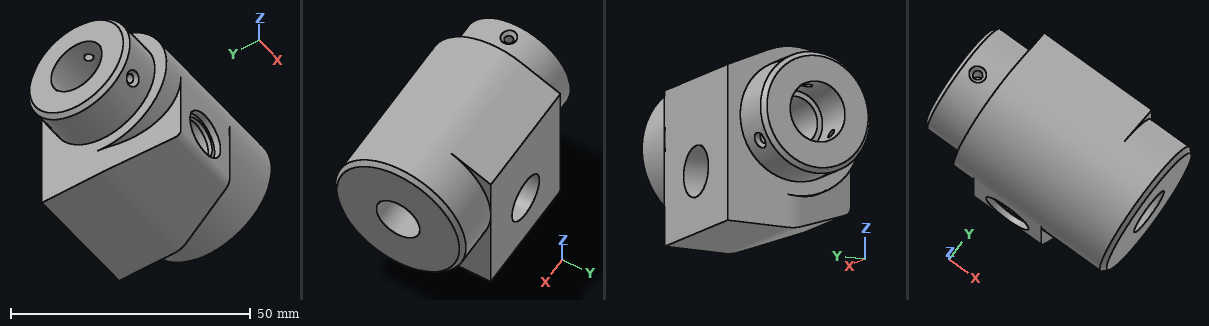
import cadquery as cq
import math

COLLAR_LENGTH = 10.0
COLLAR_RADIUS = 13.0
BARREL_RADIUS = 16.0
TOTAL_LENGTH = 49.0
END_CHAMFER = 1.0

BLOCK_LENGTH = 28.0
BLOCK_DROP = 23.0
BACK_EDGE_HEIGHT = 10.5
UNDERSIDE_ANGLE = 20.0
TAPER_ANGLE = 18.0
BEND_RADIUS = 10.0
NOSE_RADIUS = 2.0

BORE_RADIUS = 5.3
COUNTERBORE_RADIUS = 6.5
COUNTERBORE_DEPTH = COLLAR_LENGTH

CROSS_X = COLLAR_LENGTH + BLOCK_LENGTH / 2
CROSS_Z = -9.7
CROSS_RADIUS = 5.5
LIP_RADIUS = 4.6
LIP_DEPTH = 1.5
LIP_THICKNESS = 1.0

OIL_HOLE_COUNT = 3
OIL_HOLE_X = 4.5
OIL_HOLE_RADIUS = 1.0
OIL_SINK_RADIUS = 1.85


def make_barrel():
    collar = cq.Workplane("YZ").circle(COLLAR_RADIUS).extrude(COLLAR_LENGTH)
    collar = collar.faces("<X").chamfer(END_CHAMFER)
    barrel = (
        cq.Workplane("YZ")
        .workplane(offset=COLLAR_LENGTH)
        .circle(BARREL_RADIUS)
        .extrude(TOTAL_LENGTH - COLLAR_LENGTH)
        .faces(">X")
        .chamfer(END_CHAMFER)
    )
    return collar.union(barrel)


def make_block_section():
    """Block cross-section in YZ, extruded over the block length."""
    tangent_angle = 2 * math.atan2(BACK_EDGE_HEIGHT, BARREL_RADIUS)
    tangent_y = BARREL_RADIUS * math.cos(tangent_angle)
    tangent_z = BARREL_RADIUS * math.sin(tangent_angle)
    nose_z = -BLOCK_DROP + BARREL_RADIUS * math.tan(math.radians(UNDERSIDE_ANGLE))
    section = (
        cq.Workplane("YZ")
        .workplane(offset=COLLAR_LENGTH)
        .moveTo(BARREL_RADIUS, BACK_EDGE_HEIGHT)
        .lineTo(tangent_y, tangent_z)
        .lineTo(0, 0)
        .lineTo(-BARREL_RADIUS, 0)
        .lineTo(-BARREL_RADIUS, nose_z)
        .lineTo(0, -BLOCK_DROP)
        .lineTo(BARREL_RADIUS, -BLOCK_DROP)
        .close()
        .extrude(BLOCK_LENGTH)
    )
    bend_edge = cq.NearestToPointSelector((CROSS_X, 0, -BLOCK_DROP))
    nose_edge = cq.NearestToPointSelector((CROSS_X, -BARREL_RADIUS, nose_z))
    section = section.edges(bend_edge).fillet(BEND_RADIUS)
    return section.edges(nose_edge).fillet(NOSE_RADIUS)


def make_block_plan():
    """Block outline in XY: full length at the back, narrowing to the front from Y = 0."""
    half_back = BLOCK_LENGTH / 2
    half_front = half_back - BARREL_RADIUS * math.tan(math.radians(TAPER_ANGLE))
    plan = (
        cq.Workplane("XY")
        .workplane(offset=-BLOCK_DROP)
        .polyline([
            (CROSS_X - half_back, BARREL_RADIUS),
            (CROSS_X - half_back, 0),
            (CROSS_X - half_front, -BARREL_RADIUS),
            (CROSS_X + half_front, -BARREL_RADIUS),
            (CROSS_X + half_back, 0),
            (CROSS_X + half_back, BARREL_RADIUS),
        ])
        .close()
        .extrude(BLOCK_DROP + BARREL_RADIUS)
    )
    bend_z = (BARREL_RADIUS - BLOCK_DROP) / 2
    for bend_x in (CROSS_X - half_back, CROSS_X + half_back):
        bend_edge = cq.NearestToPointSelector((bend_x, 0, bend_z))
        plan = plan.edges(bend_edge).fillet(BEND_RADIUS)
    return plan


def make_bore():
    bore = cq.Workplane("YZ").circle(BORE_RADIUS).extrude(TOTAL_LENGTH)
    counterbore = cq.Workplane("YZ").circle(COUNTERBORE_RADIUS).extrude(COUNTERBORE_DEPTH)
    return bore.union(counterbore)


def make_cross_hole():
    front = cq.Workplane("XZ", origin=(CROSS_X, -BARREL_RADIUS, CROSS_Z))
    hole = front.circle(CROSS_RADIUS).extrude(-2 * BARREL_RADIUS)
    lip = (
        front.workplane(offset=-LIP_DEPTH)
        .circle(CROSS_RADIUS)
        .circle(LIP_RADIUS)
        .extrude(-LIP_THICKNESS)
    )
    return hole.cut(lip)


def make_oil_hole():
    """Upright hole from the bore axis to the collar surface, with a 90 degree countersink."""
    sink_bottom = COLLAR_RADIUS - (OIL_SINK_RADIUS - OIL_HOLE_RADIUS)
    overrun = 1.0
    return (
        cq.Workplane("XZ", origin=(OIL_HOLE_X, 0, 0))
        .polyline([
            (0, 0),
            (OIL_HOLE_RADIUS, 0),
            (OIL_HOLE_RADIUS, sink_bottom),
            (OIL_SINK_RADIUS + overrun, COLLAR_RADIUS + overrun),
            (0, COLLAR_RADIUS + overrun),
        ])
        .close()
        .revolve(360, (0, 0, 0), (0, 1, 0))
    )


block = make_block_section().intersect(make_block_plan())
result = make_barrel().union(block)
result = result.cut(make_bore()).cut(make_cross_hole())
for index in range(OIL_HOLE_COUNT):
    turn = index * 360 / OIL_HOLE_COUNT
    result = result.cut(make_oil_hole().rotate((0, 0, 0), (1, 0, 0), turn))